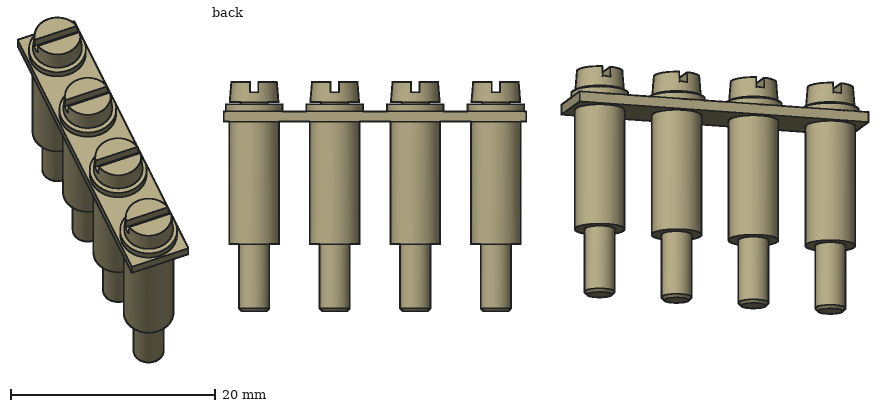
import cadquery as cq

length = 29.7
width = 6.0
plate_thickness = 1.0
screw_count = 4
end_distance = width / 2
pitch = (length - 2 * end_distance) / (screw_count - 1)

sleeve_diameter = 4.9
sleeve_length = 12.0
stud_diameter = 3.0
stud_length = 6.6
tip_chamfer = 0.3

washer_diameter = 5.58
washer_thickness = 0.7
neck_diameter = 2.7
neck_height = 0.2
head_base_diameter = 4.8
head_top_diameter = 4.48
head_height = 2.0
slot_width = 0.8
slot_depth = 1.0

washer_bottom = plate_thickness
neck_bottom = washer_bottom + washer_thickness
head_bottom = neck_bottom + neck_height
head_top = head_bottom + head_height


def cylinder(diameter, bottom, height):
    """Upright cylinder on the Z axis, starting at the given height."""
    return cq.Workplane("XY").workplane(offset=bottom).circle(diameter / 2).extrude(height)


def screw_head():
    """Tapered head with a straight slot running along Y."""
    base_radius = head_base_diameter / 2
    top_radius = head_top_diameter / 2
    head = cq.Workplane(cq.Solid.makeCone(base_radius, top_radius, head_height, cq.Vector(0, 0, head_bottom)))
    slot = (
        cq.Workplane("XY")
        .workplane(offset=head_top - slot_depth)
        .rect(slot_width, head_base_diameter)
        .extrude(slot_depth)
    )
    return head.cut(slot)


def screw():
    """Screw on the Z axis: stud, sleeve, washer, neck and head."""
    stud = cylinder(stud_diameter, -sleeve_length - stud_length, stud_length)
    stud = stud.faces("<Z").chamfer(tip_chamfer)
    sleeve = cylinder(sleeve_diameter, -sleeve_length, sleeve_length)
    core = cylinder(neck_diameter, 0, head_bottom)
    washer = cylinder(washer_diameter, washer_bottom, washer_thickness)
    return stud.union(sleeve).union(core).union(washer).union(screw_head())


result = cq.Workplane("XY").box(length, width, plate_thickness, centered=(True, True, False))
one_screw = screw()
for index in range(screw_count):
    x_position = -length / 2 + end_distance + index * pitch
    result = result.union(one_screw.translate((x_position, 0, 0)))